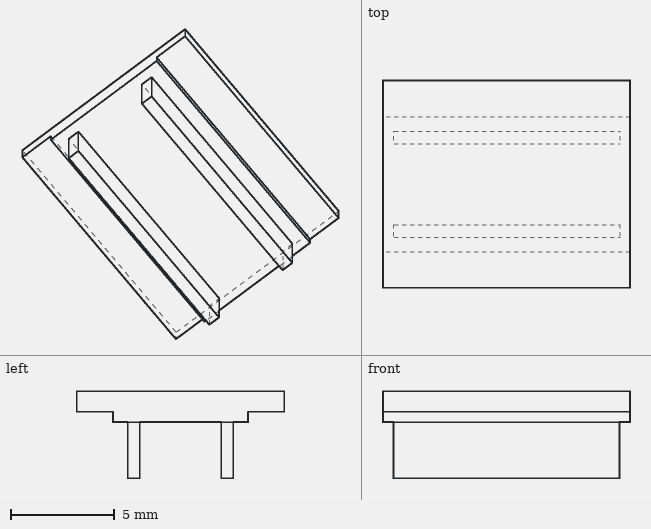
import cadquery as cq

plate_length = 11.9
plate_width = 10.0
plate_thickness = 1.0

step_width = 6.5
step_thickness = 0.5

overall_height = 4.2
leg_end_inset = 0.5
leg_thickness = 0.6
leg_outer_span = 5.1

leg_length = plate_length - 2 * leg_end_inset
leg_height = overall_height - plate_thickness - step_thickness
leg_offset = (leg_outer_span - leg_thickness) / 2

step_bottom = leg_height
plate_bottom = step_bottom + step_thickness


def block(length, width, height, bottom, y_center=0.0):
    """Box centred on X, resting on the given bottom height."""
    return (
        cq.Workplane("XY")
        .box(length, width, height, centered=(True, True, False))
        .translate((0, y_center, bottom))
    )


plate = block(plate_length, plate_width, plate_thickness, plate_bottom)
step = block(plate_length, step_width, step_thickness, step_bottom)

result = plate.union(step)
for side in (-1, 1):
    leg = block(leg_length, leg_thickness, leg_height, 0.0, side * leg_offset)
    result = result.union(leg)